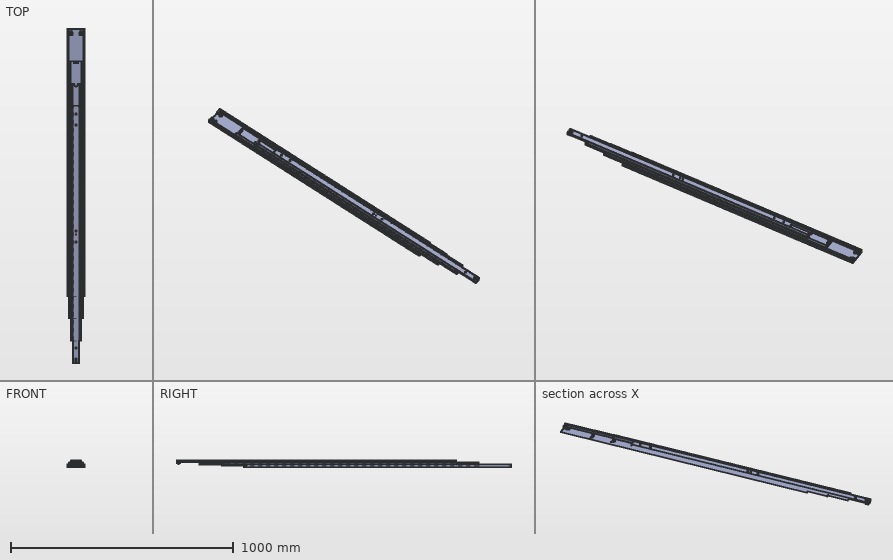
import cadquery as cq

TOTAL_LENGTH = 1500.0
FIXED_LENGTH = 1200.0
SLIDER_LENGTH = 1155.0
STAGGER = (TOTAL_LENGTH - FIXED_LENGTH) / 3

REAR_END = TOTAL_LENGTH / 2
FIXED_FRONT = REAR_END - FIXED_LENGTH
OUTER_FRONT = FIXED_FRONT - STAGGER
INNER_FRONT = OUTER_FRONT - STAGGER
TOP_FRONT = INNER_FRONT - STAGGER
OUTER_REAR = OUTER_FRONT + SLIDER_LENGTH
INNER_REAR = INNER_FRONT + SLIDER_LENGTH

FIXED_WIDTH = 80.0
OUTER_WIDTH = 63.0
INNER_WIDTH = 45.0
TOP_WIDTH = 27.0
FLOOR = 2.2
SIDE_GAP = 0.8
SHOULDER_RADIUS = 2.0

TOTAL_HEIGHT = 32.0
FIXED_TOP = 15.0
RISE = (TOTAL_HEIGHT - FIXED_TOP) / 2
OUTER_BOTTOM = RISE
OUTER_TOP = FIXED_TOP + RISE
INNER_BOTTOM = OUTER_BOTTOM + 2 * FLOOR
TOP_RAIL_BOTTOM = 22.0

RACE_RADIUS = 2.2

DIMPLE_DIAMETER = 5.0
DIMPLE_DEPTH = 3.0
DIMPLE_SETBACK = 10.0
DIMPLE_DROP = 5.0

STOP_INNER_X = 18.0
STOP_LENGTH = 10.0
STOP_TOP = 12.0
SCREW_X = 21.0
SCREW_SETBACK = 21.0
SCREW_DIAMETER = 6.0
SCREW_HEAD_DIAMETER = 15.0

TAB_WIDTH = 18.0
TAB_LENGTH = 5.0
TAB_SETBACK = 5.0
TAB_HEIGHT = 12.0
NOTCH_WIDTH = 14.0
NOTCH_DEPTH = 14.0

HOLE_DIAMETER = 6.0
HOLE_PITCH = 50.0
PAIR_PITCH = 525.0
PAIR_COUNT = 3
FIRST_HOLE_SETBACK = 18.0
SLOT_DEPTH = 21.0
SMALL_HOLE_DIAMETER = 3.0
SMALL_HOLE_OFFSET = 15.0

CATCH_WIDTH = 24.0
CATCH_LENGTH = 15.0
CATCH_BOTTOM = 18.0
PIN_DIAMETER = 3.0
PIN_SETBACK = 8.0
PIN_BOTTOM = 14.0


def block(width, y_start, y_end, z_bottom, z_top):
    """Box centred on X, between two Y planes and two Z planes."""
    base = cq.Workplane("XY", origin=(0, y_start, z_bottom))
    return base.box(width, y_end - y_start, z_top - z_bottom, centered=(True, False, False))


def channel(width, inner_width, bottom, top, front, length):
    """U-channel open at the top, whose flanges leave a running gap beside the narrower rail."""
    body = block(width, front, front + length, bottom, top)
    return body.cut(block(inner_width + 2 * SIDE_GAP, front, front + length, bottom + FLOOR, top))


def slider_channel(width, inner_width, bottom, top, front):
    """Sliding channel with rounded outer top edges."""
    rail = channel(width, inner_width, bottom, top, front, SLIDER_LENGTH)
    return rail.edges("|Y and >Z and (<X or >X)").fillet(SHOULDER_RADIUS)


def cut_races(rail, width, race_z, front):
    """Cut a round ball race along both sides of a sliding rail."""
    sides = [(-width / 2, race_z), (width / 2, race_z)]
    races = cq.Workplane("XZ", origin=(0, front, 0)).pushPoints(sides).circle(RACE_RADIUS)
    return rail.cut(races.extrude(-SLIDER_LENGTH))


def cut_dimples(rail, width, top, front):
    """Sink one dimple into each outer side, near the front."""
    centre = [(front + DIMPLE_SETBACK, top - DIMPLE_DROP)]
    for side_x, depth in ((-width / 2, DIMPLE_DEPTH), (width / 2, -DIMPLE_DEPTH)):
        side = cq.Workplane("YZ", origin=(side_x, 0, 0)).pushPoints(centre)
        rail = rail.cut(side.circle(DIMPLE_DIAMETER / 2).extrude(depth))
    return rail


def build_fixed_rail():
    """Widest channel, with a stop block in each rear corner and two countersunk screw holes."""
    rail = channel(FIXED_WIDTH, OUTER_WIDTH, 0, FIXED_TOP, FIXED_FRONT, FIXED_LENGTH)
    stop_front = REAR_END - STOP_LENGTH
    stops = block(FIXED_WIDTH, stop_front, REAR_END, 0, STOP_TOP)
    stops = stops.cut(block(2 * STOP_INNER_X, stop_front, REAR_END, 0, STOP_TOP))
    rail = rail.union(stops)
    for x in (-SCREW_X, SCREW_X):
        hole = cq.Solid.makeCone(
            SCREW_DIAMETER / 2,
            SCREW_HEAD_DIAMETER / 2,
            FLOOR,
            pnt=cq.Vector(x, REAR_END - SCREW_SETBACK, 0),
        )
        rail = rail.cut(cq.Workplane(hole))
    return cut_dimples(rail, FIXED_WIDTH, FIXED_TOP, FIXED_FRONT)


def build_outer_slider():
    """Channel running in the fixed rail, with a stop tab standing near its rear end."""
    rail = slider_channel(OUTER_WIDTH, INNER_WIDTH, OUTER_BOTTOM, OUTER_TOP, OUTER_FRONT)
    tab_top = OUTER_BOTTOM + FLOOR + TAB_HEIGHT
    tab_rear = OUTER_REAR - TAB_SETBACK
    rail = rail.union(block(TAB_WIDTH, tab_rear - TAB_LENGTH, tab_rear, OUTER_BOTTOM, tab_top))
    race_z = FIXED_TOP - RACE_RADIUS
    rail = cut_races(rail, OUTER_WIDTH, race_z, OUTER_FRONT)
    return cut_dimples(rail, OUTER_WIDTH, OUTER_TOP, OUTER_FRONT)


def build_inner_slider():
    """Channel running in the outer slider, with a round-ended notch in the rear of its floor."""
    rail = slider_channel(INNER_WIDTH, TOP_WIDTH, INNER_BOTTOM, TOTAL_HEIGHT, INNER_FRONT)
    notch = cq.Workplane("XY", origin=(0, INNER_REAR, INNER_BOTTOM))
    notch = notch.slot2D(2 * NOTCH_DEPTH, NOTCH_WIDTH, 90).extrude(FLOOR)
    race_z = OUTER_TOP - RACE_RADIUS
    rail = cut_races(rail.cut(notch), INNER_WIDTH, race_z, INNER_FRONT)
    return cut_dimples(rail, INNER_WIDTH, TOTAL_HEIGHT, INNER_FRONT)


def build_top_rail():
    """Solid rail running in the inner slider, with screw holes and a catch under its front end."""
    rail = block(TOP_WIDTH, TOP_FRONT, TOP_FRONT + SLIDER_LENGTH, TOP_RAIL_BOTTOM, TOTAL_HEIGHT)
    rail = cut_races(rail, TOP_WIDTH, (TOP_RAIL_BOTTOM + TOTAL_HEIGHT) / 2, TOP_FRONT)

    first_y = TOP_FRONT + FIRST_HOLE_SETBACK
    pair_starts = [first_y + i * PAIR_PITCH for i in range(PAIR_COUNT)]
    round_holes = [(0, y) for y in pair_starts[1:]] + [(0, y + HOLE_PITCH) for y in pair_starts]
    small_hole = [(0, pair_starts[1] + HOLE_PITCH - SMALL_HOLE_OFFSET)]
    base = cq.Workplane("XY", origin=(0, 0, TOP_RAIL_BOTTOM))
    thickness = TOTAL_HEIGHT - TOP_RAIL_BOTTOM
    rail = rail.cut(base.pushPoints(round_holes).circle(HOLE_DIAMETER / 2).extrude(thickness))
    rail = rail.cut(base.pushPoints(small_hole).circle(SMALL_HOLE_DIAMETER / 2).extrude(thickness))
    rail = rail.cut(base.center(0, TOP_FRONT).slot2D(2 * SLOT_DEPTH, HOLE_DIAMETER, 90).extrude(thickness))

    catch = block(CATCH_WIDTH, TOP_FRONT, TOP_FRONT + CATCH_LENGTH, CATCH_BOTTOM, TOP_RAIL_BOTTOM)
    pin = cq.Workplane("XY", origin=(0, TOP_FRONT + PIN_SETBACK, PIN_BOTTOM)).circle(PIN_DIAMETER / 2)
    pin = pin.extrude(CATCH_BOTTOM - PIN_BOTTOM)
    return rail.union(catch).union(pin)


fixed_rail = build_fixed_rail()
outer_slider = build_outer_slider()
inner_slider = build_inner_slider()
top_rail = build_top_rail()

result = cq.Compound.makeCompound(
    [fixed_rail.val(), outer_slider.val(), inner_slider.val(), top_rail.val()]
)